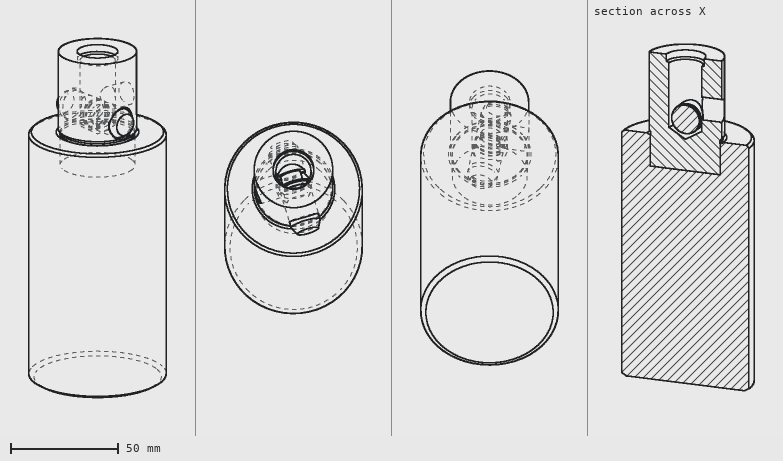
import cadquery as cq

housing_radius = 32.0
housing_height = 120.3
housing_top_chamfer = 1.3
housing_base_chamfer_width = 2.4
housing_base_chamfer_height = 1.5

overall_height = 160.0
shank_radius = 18.2
shank_base_z = housing_height + 1.6
spigot_radius = 17.5
spigot_taper = 1.3
spigot_depth = 16.0
spigot_base_z = housing_height - spigot_depth
seat_radius = 19.2
seat_depth = 0.8

bore_radius = 8.2
bore_mouth_radius = 9.5
bore_mouth_depth = 3.4
bore_cone_height = 0.8
bore_end_below_pin_axis = 4.8
bore_tip_height = 4.8

side_hole_radius = 5.5
side_hole_z = 135.5

pin_z = 129.1
pin_radius = 7.0
pin_tip_radius = 5.1
pin_tip_length = 3.7
pin_start_x = -23.2
pin_end_x = 20.0
countersink_radius = 8.0
countersink_depth = 1.0

relief_radius = 4.8
relief_start_x = 0.2
relief_width = 4.8
ring_groove_radius = 6.5
ring_groove_start_x = -2.2
ring_groove_width = 1.6


def revolve_about_z(profile):
    """Solid of revolution from (radius, z) points."""
    return cq.Workplane("XZ").polyline(profile).close().revolve(360, (0, 0, 0), (0, 1, 0))


def revolve_about_pin_axis(profile):
    """Solid of revolution about the pin axis from (x, radius) points."""
    turned = cq.Workplane("XY").polyline(profile).close().revolve(360, (0, 0, 0), (1, 0, 0))
    return turned.translate((0, 0, pin_z))


def make_housing():
    """Chamfered cylinder with a blind seat for the spigot."""
    return revolve_about_z([
        (0, 0),
        (housing_radius - housing_base_chamfer_width, 0),
        (housing_radius, housing_base_chamfer_height),
        (housing_radius, housing_height - housing_top_chamfer),
        (housing_radius - housing_top_chamfer, housing_height),
        (seat_radius, housing_height),
        (spigot_radius, housing_height - seat_depth),
        (spigot_radius, spigot_base_z),
        (0, spigot_base_z),
    ])


def make_bore():
    """Blind bore with a drill-point bottom, a wider mouth and a conical step."""
    end_z = pin_z - bore_end_below_pin_axis
    step_z = overall_height - bore_mouth_depth
    return revolve_about_z([
        (0, end_z - bore_tip_height),
        (bore_radius, end_z),
        (bore_radius, step_z - bore_cone_height),
        (bore_mouth_radius, step_z),
        (bore_mouth_radius, overall_height),
        (0, overall_height),
    ])


def make_cross_hole():
    """Through hole along X, countersunk at both ends."""
    inner_x = shank_radius - countersink_depth
    return revolve_about_pin_axis([
        (-shank_radius, 0),
        (-shank_radius, countersink_radius),
        (-inner_x, pin_radius),
        (inner_x, pin_radius),
        (shank_radius, countersink_radius),
        (shank_radius, 0),
    ])


def make_side_hole():
    """Radial hole running from the bore axis out through +Y."""
    return (
        cq.Workplane("XZ")
        .center(0, side_hole_z)
        .circle(side_hole_radius)
        .extrude(-shank_radius)
    )


def make_shank():
    body = revolve_about_z([
        (0, spigot_base_z),
        (spigot_radius, spigot_base_z),
        (spigot_radius, shank_base_z - spigot_taper),
        (shank_radius, shank_base_z),
        (shank_radius, overall_height),
        (0, overall_height),
    ])
    return body.cut(make_bore()).cut(make_cross_hole()).cut(make_side_hole())


def make_pin_groove(start_x, width, floor_radius):
    """Ring of material to remove around the pin."""
    return revolve_about_pin_axis([
        (start_x, floor_radius),
        (start_x + width, floor_radius),
        (start_x + width, pin_radius),
        (start_x, pin_radius),
    ])


def make_pin():
    """Pin with conical tips, a wide relief and a narrow ring groove."""
    body = revolve_about_pin_axis([
        (pin_start_x, 0),
        (pin_start_x, pin_tip_radius),
        (pin_start_x + pin_tip_length, pin_radius),
        (pin_end_x - pin_tip_length, pin_radius),
        (pin_end_x, pin_tip_radius),
        (pin_end_x, 0),
    ])
    relief = make_pin_groove(relief_start_x, relief_width, relief_radius)
    ring_groove = make_pin_groove(ring_groove_start_x, ring_groove_width, ring_groove_radius)
    return body.cut(relief).cut(ring_groove)


housing = make_housing()
shank = make_shank()
pin = make_pin()

result = cq.Compound.makeCompound([housing.val(), shank.val(), pin.val()])